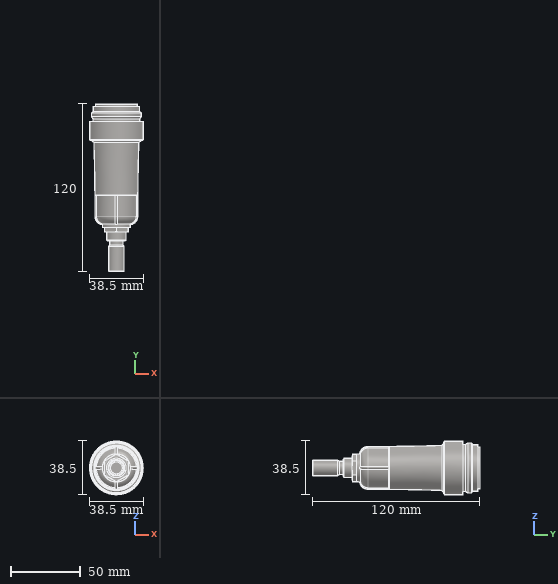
import cadquery as cq
import math


length = 120.0
plug_radius = 15.0
plug_shoulder_y = 118.5
plug_body_radius = 33.5 / 2
neck_radius = 33.8 / 2
bead_radius = 18.0
bead_rear_y = 114.6
bead_rear_bevel = 1.0
bead_front_y = 111.1
bead_front_end_y = 109.5
ring_radius = 38.5 / 2
ring_rear_y = 107.6
ring_front_y = 94.5
ring_face_radius = 18.5
ring_face_y = 93.8

flange_radius = 17.8
flange_front_radius = 16.5
flange_front_y = 92.8
grip_rear_radius = 16.2
grip_rear_y = 92.5
grip_mid_radius = 15.7
grip_front_radius = 15.5
grip_front_y = 55.1
core_radius = 14.3
core_rear_y = 54.5
grip_lip_radius = 15.1
dome_rear_y = 39.6
dome_round = 5.5
collar_radius = 10.1
collar_front_y = 31.5
hex_sides = 6
hex_corner_radius = 10.0
hex_front_y = 28.3
hex_bevel = 0.4
hex_face_radius = 8.5
barrel_radius = 14.0 / 2
barrel_front_y = 21.8
barrel_bevel_width = 1.1
barrel_bevel_length = 0.7
stem_radius = 9.7 / 2
hose_radius = 11.3 / 2
hose_rear_y = 19.1
hose_rear_bevel = 1.2
hose_tip_bevel = 0.4
bore_radius = 8.5 / 2
bore_depth = 18.0

rib_count = 4
rib_radius = 1.0
rib_centre_radius = 14.4
rib_bend_radius = 5.0


def revolve_about_y(profile):
    return profile.close().revolve(360, (0, 0, 0), (0, 1, 0))


def make_coupling():
    profile = (
        cq.Workplane("XY")
        .moveTo(0, ring_face_y)
        .lineTo(ring_face_radius, ring_face_y)
        .lineTo(ring_radius, ring_front_y)
        .lineTo(ring_radius, ring_rear_y)
        .lineTo(neck_radius, ring_rear_y)
        .lineTo(neck_radius, bead_front_end_y)
        .lineTo(bead_radius, bead_front_y)
        .lineTo(bead_radius, bead_rear_y - bead_rear_bevel)
        .lineTo(plug_body_radius, bead_rear_y)
        .lineTo(plug_body_radius, plug_shoulder_y)
        .lineTo(plug_radius, plug_shoulder_y)
        .lineTo(plug_radius, length)
        .lineTo(0, length)
    )
    return revolve_about_y(profile)


def make_turned_handle():
    dome_centre_radius = core_radius - dome_round
    dome_front_y = dome_rear_y - dome_round
    diagonal = dome_round * math.sqrt(0.5)
    tail_profile = (
        cq.Workplane("XY")
        .moveTo(0, 0)
        .lineTo(hose_radius - hose_tip_bevel, 0)
        .lineTo(hose_radius, hose_tip_bevel)
        .lineTo(hose_radius, hose_rear_y - hose_rear_bevel)
        .lineTo(stem_radius, hose_rear_y)
        .lineTo(stem_radius, barrel_front_y)
        .lineTo(barrel_radius - barrel_bevel_width, barrel_front_y)
        .lineTo(barrel_radius, barrel_front_y + barrel_bevel_length)
        .lineTo(barrel_radius, collar_front_y)
        .lineTo(collar_radius, collar_front_y)
        .lineTo(collar_radius, dome_rear_y)
        .lineTo(0, dome_rear_y)
    )
    grip_profile = (
        cq.Workplane("XY")
        .moveTo(0, dome_front_y)
        .lineTo(dome_centre_radius, dome_front_y)
        .threePointArc(
            (dome_centre_radius + diagonal, dome_rear_y - diagonal),
            (core_radius, dome_rear_y),
        )
        .lineTo(core_radius, core_rear_y)
        .lineTo(grip_lip_radius, core_rear_y)
        .lineTo(grip_front_radius, grip_front_y)
        .threePointArc(
            (grip_mid_radius, (grip_front_y + grip_rear_y) / 2),
            (grip_rear_radius, grip_rear_y),
        )
        .lineTo(flange_front_radius, flange_front_y)
        .lineTo(flange_radius, ring_face_y)
        .lineTo(0, ring_face_y)
    )
    return revolve_about_y(tail_profile).union(revolve_about_y(grip_profile))


def make_hex():
    corners = [
        (
            hex_corner_radius * math.sin(2 * math.pi * i / hex_sides),
            hex_corner_radius * math.cos(2 * math.pi * i / hex_sides),
        )
        for i in range(hex_sides)
    ]
    prism = (
        cq.Workplane("XZ", origin=(0, collar_front_y, 0))
        .polyline(corners)
        .close()
        .extrude(collar_front_y - hex_front_y)
    )
    bevel_envelope = revolve_about_y(
        cq.Workplane("XY")
        .moveTo(0, hex_front_y)
        .lineTo(hex_face_radius, hex_front_y)
        .lineTo(hex_corner_radius, hex_front_y + hex_bevel)
        .lineTo(hex_corner_radius, collar_front_y)
        .lineTo(0, collar_front_y)
    )
    return prism.intersect(bevel_envelope)


def make_rib():
    diagonal = rib_bend_radius * math.sqrt(0.5)
    bend_centre_radius = rib_centre_radius - rib_bend_radius
    path = (
        cq.Workplane("XY")
        .moveTo(rib_centre_radius, grip_front_y)
        .lineTo(rib_centre_radius, dome_rear_y)
        .threePointArc(
            (bend_centre_radius + diagonal, dome_rear_y - diagonal),
            (bend_centre_radius, dome_rear_y - rib_bend_radius),
        )
    )
    return (
        cq.Workplane("XZ", origin=(rib_centre_radius, grip_front_y, 0))
        .circle(rib_radius)
        .sweep(path)
    )


def make_handle():
    handle = make_turned_handle().union(make_hex())
    rib = make_rib()
    for i in range(rib_count):
        handle = handle.union(rib.rotate((0, 0, 0), (0, 1, 0), 360 / rib_count * i))
    bore = cq.Workplane("XZ").circle(bore_radius).extrude(-bore_depth)
    return handle.cut(bore)


coupling = make_coupling()
handle = make_handle()
result = cq.Compound.makeCompound([coupling.val(), handle.val()])